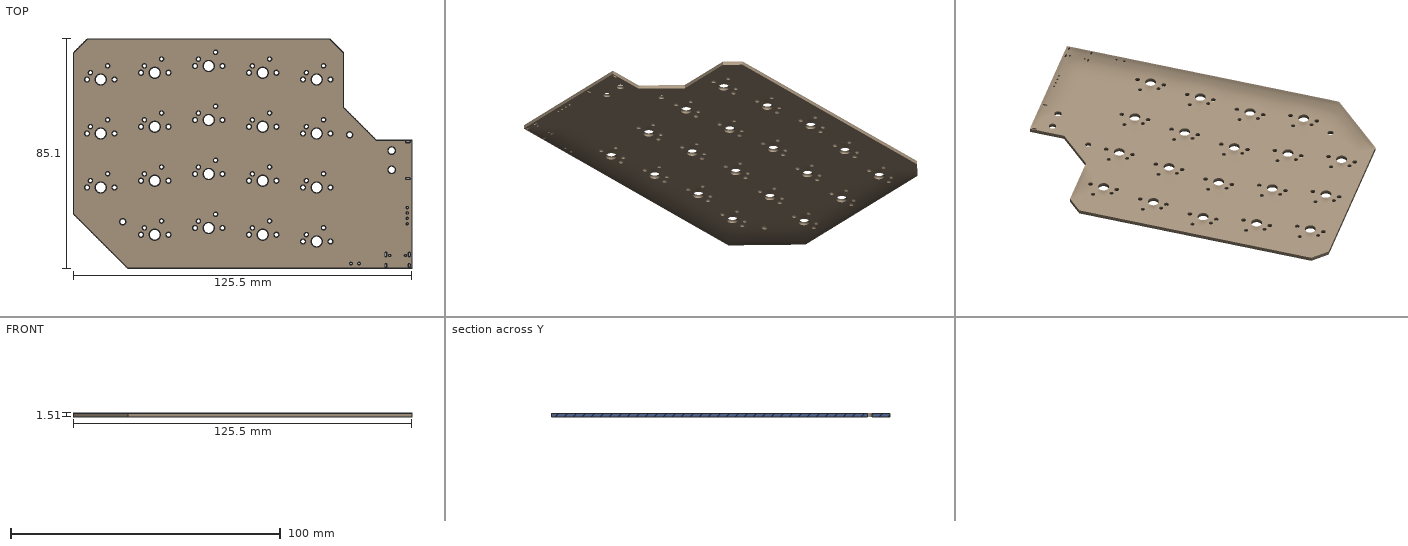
import cadquery as cq

LENGTH = 125.5
WIDTH = 85.05
THICKNESS = 1.51
CORNER_CHAMFER = 5.15
LOWER_LEFT_CHAMFER = 20.17
TAB_WIDTH = 47.5
TAB_CHAMFER = 12.1

PITCH = 20.0
COLUMN_STAGGER = (-5.0, -2.5, 0.0, -2.5, -5.0)
ROWS_PER_COLUMN = (3, 4, 4, 4, 4)
GRID_LEFT = 0.11
FIRST_KEY_X = GRID_LEFT + PITCH / 2
TOP_KEY_Y = 75.0
KEY_FIELD_LENGTH = GRID_LEFT + PITCH * len(COLUMN_STAGGER)

SWITCH_GRID = 1.27
SWITCH_STEM_DIAMETER = 4.0
SWITCH_PEG_DIAMETER = 1.75
SWITCH_PIN_DIAMETER = 1.5
SWITCH_PEGS = ((-4 * SWITCH_GRID, 0), (4 * SWITCH_GRID, 0))
SWITCH_PINS = ((-3 * SWITCH_GRID, 2 * SWITCH_GRID), (2 * SWITCH_GRID, 4 * SWITCH_GRID))

MOUNT_DIAMETER = 2.2
MOUNT_HOLES = ((18.25, 17.3), (102.3, 49.5))

JACK_Y = 40.1
JACK_HOLE_DIAMETER = 2.7
JACK_HOLE_X = 117.88
JACK_HOLE_SPACING = 7.1
JACK_SLOT_X = 123.9
JACK_SLOT_SPACING = 13.6
JACK_SLOT_LENGTH = 1.7
JACK_SLOT_WIDTH = 0.6

HEADER_PIN_DIAMETER = 0.75
HEADER_PIN_COUNT = 4
HEADER_PITCH = 2.0
HEADER_X = 123.63
HEADER_Y = 19.55

USB_X = 120.06
USB_PEG_DIAMETER = 0.7
USB_PEG_SPACING = 5.78
USB_PEG_Y = 4.8
USB_SLOT_SPACING = 8.64
USB_SLOT_WIDTH = 0.6
USB_REAR_SLOT_LENGTH = 1.7
USB_REAR_SLOT_Y = 5.2
USB_FRONT_SLOT_LENGTH = 1.4
USB_FRONT_SLOT_Y = 1.1

WIRE_HOLE_DIAMETER = 0.9
WIRE_HOLE_SPACING = 3.0
WIRE_X = 104.3
WIRE_Y = 1.8


def pair_x(center_x, y, spacing):
    """Two points at the same Y, symmetric about center_x."""
    return [(center_x - spacing / 2, y), (center_x + spacing / 2, y)]


def pair_y(x, center_y, spacing):
    """Two points at the same X, symmetric about center_y."""
    return [(x, center_y - spacing / 2), (x, center_y + spacing / 2)]


def make_plate():
    outline = [
        (LOWER_LEFT_CHAMFER, 0),
        (LENGTH, 0),
        (LENGTH, TAB_WIDTH),
        (KEY_FIELD_LENGTH + TAB_CHAMFER, TAB_WIDTH),
        (KEY_FIELD_LENGTH, TAB_WIDTH + TAB_CHAMFER),
        (KEY_FIELD_LENGTH, WIDTH - CORNER_CHAMFER),
        (KEY_FIELD_LENGTH - CORNER_CHAMFER, WIDTH),
        (CORNER_CHAMFER, WIDTH),
        (0, WIDTH - CORNER_CHAMFER),
        (0, LOWER_LEFT_CHAMFER),
    ]
    return cq.Workplane("XY").polyline(outline).close().extrude(THICKNESS)


def drill(plate, points, diameter):
    cutters = cq.Workplane("XY").pushPoints(points).circle(diameter / 2).extrude(THICKNESS)
    return plate.cut(cutters)


def cut_slots(plate, points, length, width, angle):
    cutters = cq.Workplane("XY").pushPoints(points).slot2D(length, width, angle).extrude(THICKNESS)
    return plate.cut(cutters)


def key_centers():
    centers = []
    for column, (stagger, rows) in enumerate(zip(COLUMN_STAGGER, ROWS_PER_COLUMN)):
        for row in range(rows):
            x = FIRST_KEY_X + column * PITCH
            y = TOP_KEY_Y + stagger - row * PITCH
            centers.append((x, y))
    return centers


def drill_switches(plate):
    centers = key_centers()
    pegs = [(x + dx, y + dy) for x, y in centers for dx, dy in SWITCH_PEGS]
    pins = [(x + dx, y + dy) for x, y in centers for dx, dy in SWITCH_PINS]
    plate = drill(plate, centers, SWITCH_STEM_DIAMETER)
    plate = drill(plate, pegs, SWITCH_PEG_DIAMETER)
    return drill(plate, pins, SWITCH_PIN_DIAMETER)


def cut_jack(plate):
    holes = pair_y(JACK_HOLE_X, JACK_Y, JACK_HOLE_SPACING)
    slots = pair_y(JACK_SLOT_X, JACK_Y, JACK_SLOT_SPACING)
    plate = drill(plate, holes, JACK_HOLE_DIAMETER)
    return cut_slots(plate, slots, JACK_SLOT_LENGTH, JACK_SLOT_WIDTH, 0)


def drill_header(plate):
    first_y = HEADER_Y - HEADER_PITCH * (HEADER_PIN_COUNT - 1) / 2
    pins = [(HEADER_X, first_y + i * HEADER_PITCH) for i in range(HEADER_PIN_COUNT)]
    return drill(plate, pins, HEADER_PIN_DIAMETER)


def cut_usb_socket(plate):
    pegs = pair_x(USB_X, USB_PEG_Y, USB_PEG_SPACING)
    rear_slots = pair_x(USB_X, USB_REAR_SLOT_Y, USB_SLOT_SPACING)
    front_slots = pair_x(USB_X, USB_FRONT_SLOT_Y, USB_SLOT_SPACING)
    plate = drill(plate, pegs, USB_PEG_DIAMETER)
    plate = cut_slots(plate, rear_slots, USB_REAR_SLOT_LENGTH, USB_SLOT_WIDTH, 90)
    return cut_slots(plate, front_slots, USB_FRONT_SLOT_LENGTH, USB_SLOT_WIDTH, 90)


plate = make_plate()
plate = drill_switches(plate)
plate = drill(plate, MOUNT_HOLES, MOUNT_DIAMETER)
plate = cut_jack(plate)
plate = drill_header(plate)
plate = cut_usb_socket(plate)
plate = drill(plate, pair_x(WIRE_X, WIRE_Y, WIRE_HOLE_SPACING), WIRE_HOLE_DIAMETER)

result = plate